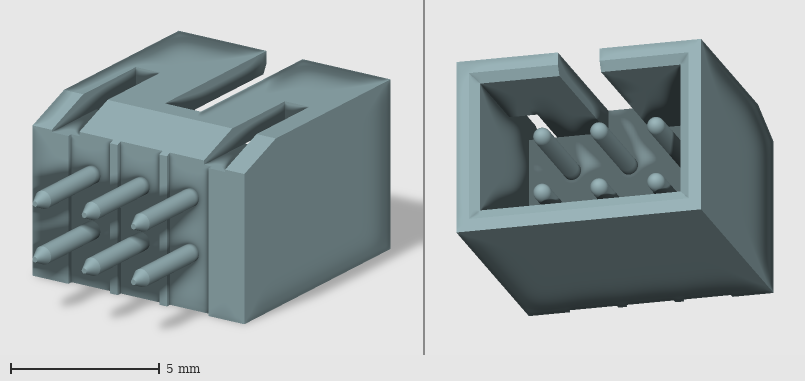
import cadquery as cq
import math

total_length = 12.2
body_width = 8.6
body_height = 6.1
body_depth = 8.89
wall = 0.78

bevel_length = 1.92
bevel_angle = 20.0
bevel_drop = bevel_length * math.tan(math.radians(bevel_angle))

cavity_depth = 6.2
cavity_floor_y = body_depth - cavity_depth
cavity_width = body_width - 2 * wall
cavity_height = body_height - 2 * wall
flare_depth = 0.2
flare_width = 0.34

key_slot_width = 1.46
side_slot_width = 0.99
side_slot_length = 5.12
side_slot_center_x = cavity_width / 2 - side_slot_width / 2

pitch = 2.0
column_count = 3
row_count = 2
tail_diameter = 0.65
contact_diameter = 0.61
pin_protrusion = total_length - body_depth
pin_front_gap = 2.2
tip_length = 0.5
tip_diameter = 0.2

recess_width = 1.7
recess_depth = 0.2


def box(width, y_start, y_end, z_bottom, z_top, center_x=0.0):
    """Block centred on center_x, spanning the given Y and Z ranges."""
    return (
        cq.Workplane("XY")
        .box(width, y_end - y_start, z_top - z_bottom, centered=(True, False, False))
        .translate((center_x, y_start, z_bottom))
    )


def make_body():
    """Block with the long shallow bevel along its rear top edge."""
    return (
        cq.Workplane("YZ")
        .moveTo(0, 0)
        .lineTo(body_depth, 0)
        .lineTo(body_depth, body_height)
        .lineTo(bevel_length, body_height)
        .lineTo(0, body_height - bevel_drop)
        .close()
        .extrude(body_width / 2, both=True)
    )


def make_cavity():
    """Rectangular cavity open at +Y, widening at the mouth."""
    straight = box(cavity_width, cavity_floor_y, body_depth, wall, body_height - wall)
    cavity_mouth_y = body_depth - flare_depth
    flare = (
        cq.Workplane("XZ", origin=(0, cavity_mouth_y, body_height / 2))
        .rect(cavity_width, cavity_height)
        .workplane(offset=-flare_depth)
        .rect(cavity_width + 2 * flare_width, cavity_height + 2 * flare_width)
        .loft(ruled=True)
    )
    return straight.union(flare)


def make_key_slot():
    """Central slot through the top wall, open at the mouth."""
    return box(key_slot_width, cavity_floor_y, body_depth, body_height / 2, body_height)


def make_side_slot(center_x):
    """Groove one wall thickness deep, running from the rear face and opening the cavity roof."""
    cavity_roof_z = body_height - wall
    return box(side_slot_width, 0, side_slot_length, cavity_roof_z, body_height, center_x)


def make_pin():
    """Pin along Y: rear tail with a blunt cone, then a slimmer contact with a round end in the cavity."""
    tail_radius = tail_diameter / 2
    contact_radius = contact_diameter / 2
    rear_y = -pin_protrusion
    front_y = body_depth - pin_front_gap
    dome_start_y = front_y - contact_radius
    arc_offset = contact_radius * math.sqrt(0.5)
    return (
        cq.Workplane("XY")
        .moveTo(0, rear_y)
        .lineTo(tip_diameter / 2, rear_y)
        .lineTo(tail_radius, rear_y + tip_length)
        .lineTo(tail_radius, cavity_floor_y)
        .lineTo(contact_radius, cavity_floor_y)
        .lineTo(contact_radius, dome_start_y)
        .threePointArc((arc_offset, dome_start_y + arc_offset), (0, front_y))
        .close()
        .revolve(360, (0, 0, 0), (0, 1, 0))
    )


column_xs = [(i - (column_count - 1) / 2) * pitch for i in range(column_count)]
row_zs = [body_height / 2 + (i - (row_count - 1) / 2) * pitch for i in range(row_count)]

housing = make_body().cut(make_cavity()).cut(make_key_slot())
for side in (-1, 1):
    housing = housing.cut(make_side_slot(side * side_slot_center_x))
for x in column_xs:
    housing = housing.cut(box(recess_width, 0, recess_depth, 0, body_height, x))

result = housing
for x in column_xs:
    for z in row_zs:
        result = result.union(make_pin().translate((x, 0, z)))